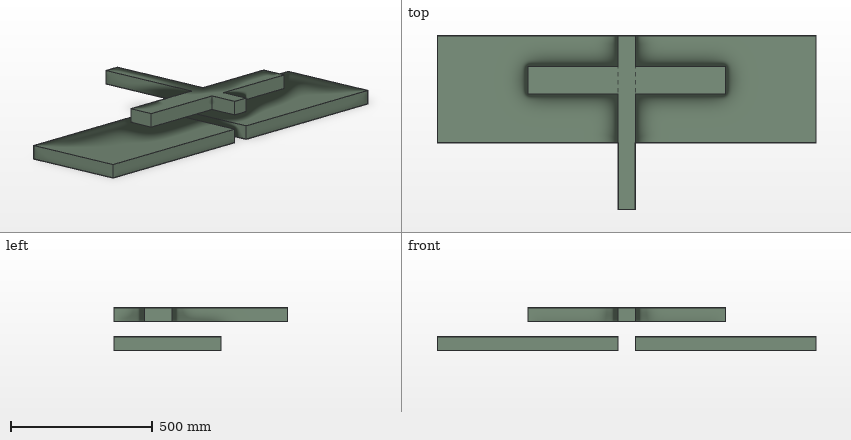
import cadquery as cq

overall_width = 1341.0
overall_depth = 615.0
overall_height = 152.0
thickness = 50.0

plate_depth = 380.0
stem_width = 60.0
plate_gap = stem_width
plate_width = (overall_width - plate_gap) / 2

crossbar_length = 700.0
crossbar_width = 98.0
crossbar_setback = 109.0
cross_bottom = overall_height - thickness


def block(width, depth, center_x, rear_y, bottom_z):
    """Flat block centred on center_x, extending forward (-Y) from rear_y."""
    return (
        cq.Workplane("XY")
        .box(width, depth, thickness, centered=(True, False, False))
        .translate((center_x, rear_y - depth, bottom_z))
    )


def make_plate(side):
    """Base plate on the left (side = -1) or right (side = 1)."""
    center_x = side * (plate_gap + plate_width) / 2
    return block(plate_width, plate_depth, center_x, 0, 0)


def make_cross():
    """One-piece cross: a long stem with a shorter crossbar near its rear end."""
    stem = block(stem_width, overall_depth, 0, 0, cross_bottom)
    crossbar = block(crossbar_length, crossbar_width, 0, -crossbar_setback, cross_bottom)
    return stem.union(crossbar)


plates = [make_plate(side) for side in (-1, 1)]
cross = make_cross()

result = cq.Compound.makeCompound([*(plate.val() for plate in plates), cross.solids().val()])